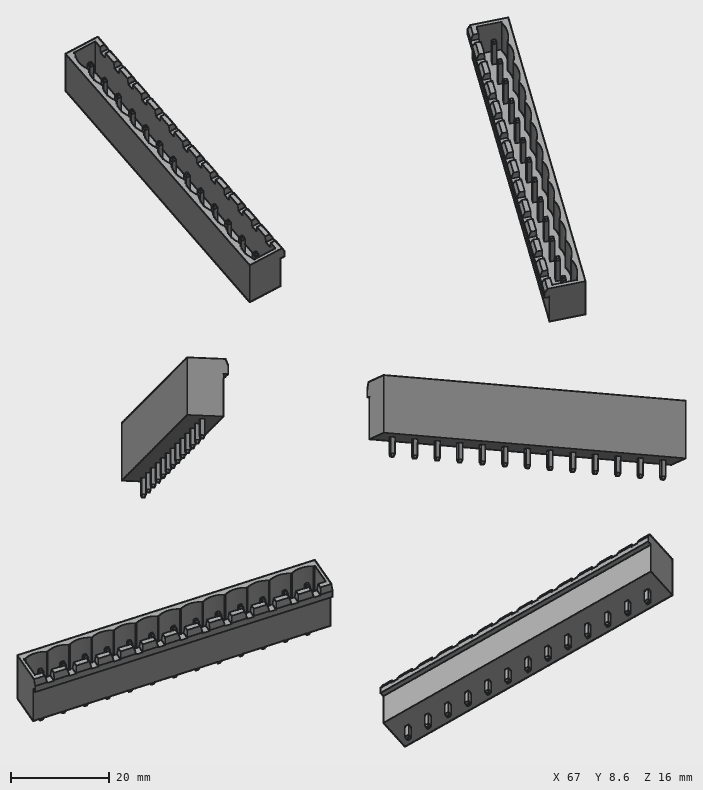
import cadquery as cq

length = 67.0
body_depth = 7.6
body_height = 12.0
end_wall = 0.75
rear_wall = 0.75
floor_thickness = 2.0

lip_overhang = 1.0
lip_height = 3.1
lip_chamfer_depth = 0.6
lip_chamfer_height = 1.4

pin_count = 13
end_margin = 3.5
pitch = (length - 2 * end_margin) / (pin_count - 1)
pin_width = 0.95
pin_front_distance = 3.8
pin_below = 4.0
pin_top = 9.9
pin_tip_length = 0.6
pin_tip_inset = 0.2

front_wall_thick = 1.6
front_wall_thin = 1.0
crest_width = 0.3

notch_top_width = 2.0
notch_floor_width = 1.5
notch_depth = 1.6

pin_positions = [-length / 2 + end_margin + i * pitch for i in range(pin_count)]


def make_housing():
    """Solid block with the chamfered lip, extruded along X from its YZ profile."""
    lip_back = body_depth + lip_overhang
    profile = [
        (0, 0),
        (body_depth, 0),
        (body_depth, body_height - lip_height),
        (lip_back, body_height - lip_height),
        (lip_back, body_height - lip_chamfer_height),
        (lip_back - lip_chamfer_depth, body_height),
        (0, body_height),
    ]
    return cq.Workplane("YZ").polyline(profile).close().extrude(length / 2, both=True)


def make_pocket():
    """Open-topped cavity whose front side has one shallow arc per pin."""
    half = length / 2 - end_wall
    back = body_depth - rear_wall
    half_arc = (pitch - crest_width) / 2
    outline = cq.Workplane("XY").workplane(offset=floor_thickness).moveTo(-half, back)
    outline = outline.lineTo(-half, front_wall_thick)
    for x in pin_positions:
        outline = outline.lineTo(x - half_arc, front_wall_thick)
        outline = outline.threePointArc((x, front_wall_thin), (x + half_arc, front_wall_thick))
    outline = outline.lineTo(half, front_wall_thick).lineTo(half, back).close()
    return outline.extrude(body_height - floor_thickness)


def make_notch(x):
    """Flared cutter for one rear-wall notch centred at x."""
    bottom = body_height - notch_depth
    profile = [
        (x - notch_floor_width / 2, bottom),
        (x + notch_floor_width / 2, bottom),
        (x + notch_top_width / 2, body_height),
        (x - notch_top_width / 2, body_height),
    ]
    start = body_depth - rear_wall
    plane = cq.Workplane("XZ", origin=(0, start, 0))
    return plane.polyline(profile).close().extrude(-(rear_wall + lip_overhang))


def make_pin(x):
    """Square pin with both ends tapered on all four sides."""
    pin = cq.Workplane("XY").box(
        pin_width, pin_width, pin_below + pin_top, centered=(True, True, False)
    )
    pin = pin.faces("<Z or >Z").chamfer(pin_tip_length, pin_tip_inset)
    return pin.translate((x, pin_front_distance, -pin_below))


result = make_housing().cut(make_pocket())
for x in pin_positions:
    result = result.cut(make_notch(x))
for x in pin_positions:
    result = result.union(make_pin(x))